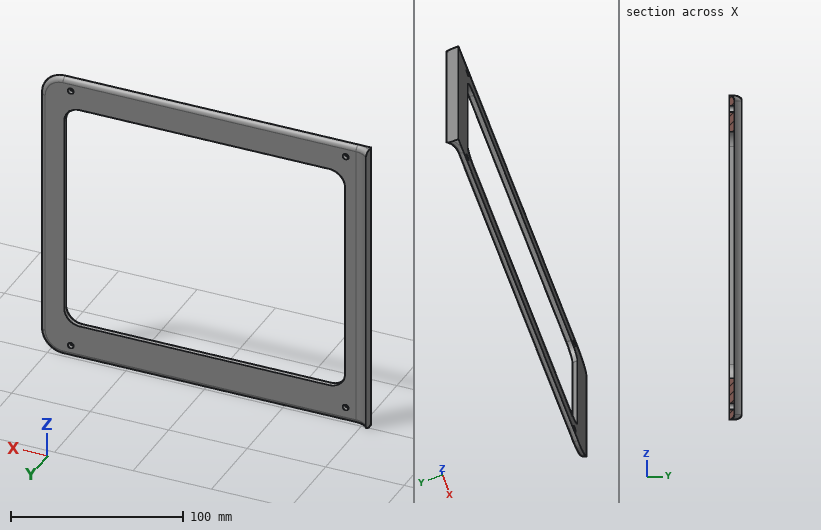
import cadquery as cq
import math

length = 209.5
height = 188.0
plate_thickness = 3.1
corner_radius = 14.5

lip_depth = 7.5
lip_width = 8.4

edge_land = 0.05
back_edge_radius = plate_thickness - edge_land

side_margin = 15.3
top_margin = 19.3
bottom_margin = 22.2
window_radius = 10.0

hole_diameter = 3.5
left_hole_x = 14.9
right_hole_x = length - 19.5
right_hole_inset = 7.7
hole_centers = [
    (left_hole_x, 9.6),
    (left_hole_x, height - 8.4),
    (right_hole_x, right_hole_inset),
    (right_hole_x, height - right_hole_inset),
]


def make_blank():
    """Plate and lip as one profile in XY, extruded up Z."""
    lip_rise = lip_depth - plate_thickness
    lip_radius = (lip_width**2 + lip_rise**2) / (2 * lip_rise)
    half_sweep = math.asin(lip_width / lip_radius) / 2
    arc_middle = (
        lip_width - lip_radius * math.sin(half_sweep),
        plate_thickness + lip_radius * (1 - math.cos(half_sweep)),
    )
    blank = (
        cq.Workplane("XY")
        .moveTo(0, 0)
        .lineTo(length, 0)
        .lineTo(length, plate_thickness)
        .lineTo(lip_width, plate_thickness)
        .threePointArc(arc_middle, (0, lip_depth))
        .close()
        .extrude(height)
    )
    return blank.edges("|Y and >X").fillet(corner_radius)


def round_back_edge(body):
    """Round the back outline, including the curved ends of the lip."""
    right_back_edge = cq.selectors.NearestToPointSelector((length, plate_thickness, height / 2))
    return body.edges(right_back_edge).fillet(back_edge_radius)


def through_tool(sketch_plane):
    """Extrude a pending XZ outline from the front face through the full depth."""
    return sketch_plane.extrude(-lip_depth)


def make_window():
    window_length = length - 2 * side_margin
    window_height = height - top_margin - bottom_margin
    outline = (
        cq.Workplane("XZ")
        .center(length / 2, bottom_margin + window_height / 2)
        .rect(window_length, window_height)
    )
    return through_tool(outline).edges("|Y").fillet(window_radius)


def make_holes():
    return through_tool(cq.Workplane("XZ").pushPoints(hole_centers).circle(hole_diameter / 2))


frame = round_back_edge(make_blank())
result = frame.cut(make_window()).cut(make_holes())